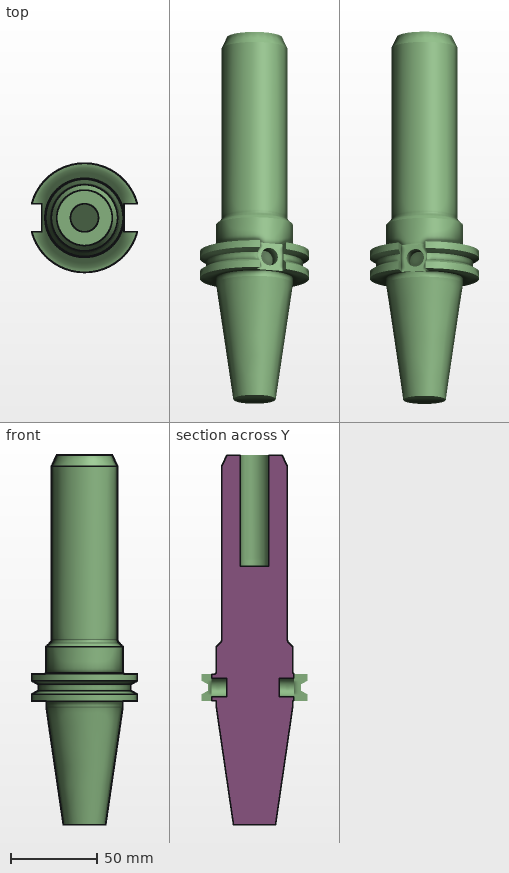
import cadquery as cq
import math

total_height = 214.3
gauge_height = 68.4
flange_bottom = 71.5
flange_top = 87.5
groove_height = 79.5
shoulder_height = 103.0

taper_ratio = 7 / 24
gauge_radius = 22.3
flange_radius = 31.7
neck_radius = 44.8 / 2
shank_radius = 38.4 / 2
nose_radius = 16.0
nose_height = 6.6

groove_floor_radius = 28.0
groove_floor_width = 3.6
groove_flank_angle = 30.0

collar_radius = 23.0
collar_height = 0.6
shoulder_blend_radius = 2.5

slot_width = 16.0
left_slot_floor = 24.9
right_slot_floor = 23.0
screw_hole_diameter = 10.3
screw_hole_depth = 8.5
bore_diameter = 16.3
bore_depth = 64.3


def turned_body():
    """Revolve the taper, flange, neck and shank about Z."""
    tip_radius = gauge_radius - gauge_height * taper_ratio / 2
    floor_half = groove_floor_width / 2
    groove_depth = flange_radius - groove_floor_radius
    mouth_half = floor_half + groove_depth * math.tan(math.radians(groove_flank_angle))

    diagonal = math.sqrt(0.5)
    blend_start_radius = shank_radius + shoulder_blend_radius * (1 - diagonal)
    blend_start_height = shoulder_height + neck_radius - blend_start_radius
    blend_end_height = blend_start_height + shoulder_blend_radius * diagonal
    blend_middle = (
        shank_radius + shoulder_blend_radius * (1 - math.cos(math.pi / 8)),
        blend_end_height - shoulder_blend_radius * math.sin(math.pi / 8),
    )

    return (
        cq.Workplane("XZ")
        .moveTo(0, 0)
        .lineTo(tip_radius, 0)
        .lineTo(gauge_radius, gauge_height)
        .lineTo(gauge_radius, flange_bottom)
        .lineTo(flange_radius, flange_bottom)
        .lineTo(flange_radius, groove_height - mouth_half)
        .lineTo(groove_floor_radius, groove_height - floor_half)
        .lineTo(groove_floor_radius, groove_height + floor_half)
        .lineTo(flange_radius, groove_height + mouth_half)
        .lineTo(flange_radius, flange_top)
        .lineTo(collar_radius, flange_top)
        .lineTo(neck_radius, flange_top + collar_height)
        .lineTo(neck_radius, shoulder_height)
        .lineTo(blend_start_radius, blend_start_height)
        .threePointArc(blend_middle, (shank_radius, blend_end_height))
        .lineTo(shank_radius, total_height - nose_height)
        .lineTo(nose_radius, total_height)
        .lineTo(0, total_height)
        .close()
        .revolve(360, (0, 0, 0), (0, 1, 0))
    )


def drive_slot(side, floor_distance):
    """Slot through the flange with a blind screw hole; side is -1 or 1 along X."""
    slot = cq.Workplane("XY").box(
        flange_radius, slot_width, flange_top - flange_bottom, centered=(False, True, False)
    ).translate((floor_distance, 0, flange_bottom))
    hole = (
        cq.Workplane("YZ", origin=(floor_distance - screw_hole_depth, 0, groove_height))
        .circle(screw_hole_diameter / 2)
        .extrude(2 * screw_hole_depth)
    )
    cutter = slot.union(hole)
    return cutter if side > 0 else cutter.mirror("YZ")


def tool_bore():
    """Blind bore from the nose face."""
    return (
        cq.Workplane("XY", origin=(0, 0, total_height - bore_depth))
        .circle(bore_diameter / 2)
        .extrude(bore_depth)
    )


result = (
    turned_body()
    .cut(drive_slot(-1, left_slot_floor))
    .cut(drive_slot(1, right_slot_floor))
    .cut(tool_bore())
)